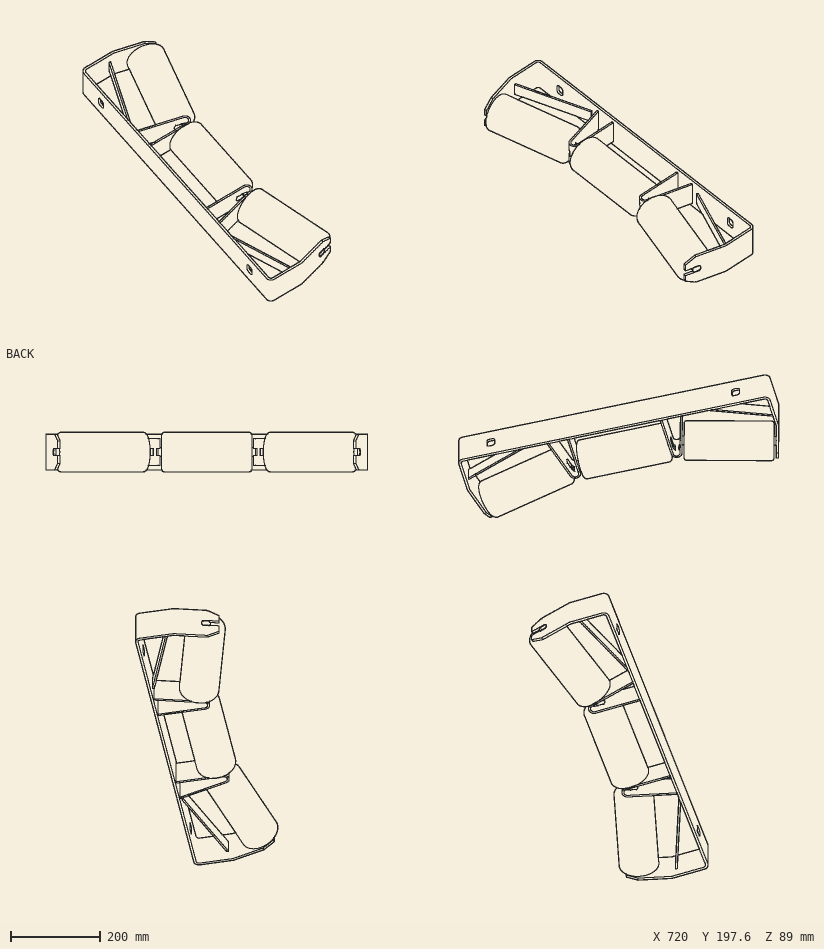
import math

import cadquery as cq

total_length = 720.0
strip_width = 81.0
tilt = math.radians(15)
cos_tilt = math.cos(tilt)
sin_tilt = math.sin(tilt)

strip_thickness = 6.0
corner_radius = 12.0
bend_radius = 12.0
arm_length = 102.0
arm_taper_length = 27.0
arm_taper_depth = 15.0
hole_width = 18.0
hole_height = 24.0
hole_corner_radius = 6.0
hole_offset = 283.0

roller_diameter = 89.0
roller_length = 201.5
roller_edge_radius = 6.5
shaft_diameter = 20.0
shaft_flat_width = 15.0
shaft_gap = 4.0
slot_depth = 43.0
slot_overcut = 1.5
middle_roller_y = 99.0
side_roller_y = 130.0

bracket_width = 60.0
bracket_thickness = 4.0
bracket_face = roller_length / 2 + shaft_gap
arch_radius = 12.0
arch_x = bracket_face + arch_radius
arch_height = 112.0

brace_width = 30.0
brace_thickness = 4.0
brace_angle = math.radians(21.0)
brace_top = 78.5

shaft_length = roller_length + 2 * (shaft_gap + bracket_thickness)

plate_spacing = 2 * bracket_face
leg_reach = arch_x * cos_tilt + arch_height * sin_tilt + arch_radius
side_roller_x = (leg_reach + plate_spacing / 2 - side_roller_y * sin_tilt) / cos_tilt
arm_reach = leg_reach + plate_spacing + strip_thickness
bend_height = (arm_reach - total_length / 2 * cos_tilt) / sin_tilt


def along_arm(start, along, inward=0.0):
    """Point reached from start by moving up the left arm and then inward across it."""
    x, y = start
    return (x + along * sin_tilt + inward * cos_tilt, y + along * cos_tilt - inward * sin_tilt)


def mirrored(points):
    """Points mirrored across X = 0, in reverse order."""
    return [(-x, y) for x, y in reversed(points)]


def extrude_plate(outline, width):
    """Solid of the given width, centred on Z = 0."""
    return outline.extrude(width).translate((0, 0, -width / 2))


def rod(diameter, length):
    """Round bar along X, centred on the origin."""
    return cq.Workplane("YZ").circle(diameter / 2).extrude(length).translate((-length / 2, 0, 0))


def round_upright(body, point, radius):
    """Round the vertical edge at point and its mirror image."""
    for side in (-1, 1):
        nearest = cq.selectors.NearestToPointSelector((side * point[0], point[1], 0))
        body = body.edges("|Z").edges(nearest).fillet(radius)
    return body


def make_strip():
    """Base with its folded uprights and leaning arms, and the two mounting holes."""
    outer_x = -total_length / 2
    inner_x = outer_x + strip_thickness
    outer_bend = (outer_x, bend_height)
    inner_bend = (inner_x, bend_height - strip_thickness * math.tan(tilt / 2))
    outer_left = [along_arm(outer_bend, arm_length), outer_bend, (outer_x, 0)]
    inner_left = [
        (inner_x, strip_thickness),
        inner_bend,
        along_arm(outer_bend, arm_length, strip_thickness),
    ]
    points = outer_left + mirrored(outer_left) + mirrored(inner_left) + inner_left
    strip = extrude_plate(cq.Workplane("XY").polyline(points).close(), strip_width)

    strip = round_upright(strip, (outer_x, 0), corner_radius)
    strip = round_upright(strip, (inner_x, strip_thickness), corner_radius - strip_thickness)
    strip = round_upright(strip, outer_bend, bend_radius)
    strip = round_upright(strip, inner_bend, bend_radius - strip_thickness)

    for side in (-1, 1):
        strip = strip.cut(make_arm_taper(outer_bend, side))
    holes = (
        cq.Workplane("XZ")
        .pushPoints([(-hole_offset, 0), (hole_offset, 0)])
        .rect(hole_width, hole_height)
        .extrude(-strip_thickness)
        .edges("|Y")
        .fillet(hole_corner_radius)
    )
    return strip.cut(holes)


def make_arm_taper(outer_bend, side):
    """Two corner wedges that narrow the free end of one arm."""
    face = cq.Plane(
        origin=(-side * outer_bend[0], outer_bend[1], 0),
        xDir=(-side * sin_tilt, cos_tilt, 0),
        normal=(-side * cos_tilt, -sin_tilt, 0),
    )
    half_width = strip_width / 2
    wedges = cq.Workplane(face)
    for edge in (-1, 1):
        wedges = wedges.polyline([
            (arm_length - arm_taper_length, edge * half_width),
            (arm_length, edge * half_width),
            (arm_length, edge * (half_width - arm_taper_depth)),
        ]).close()
    return wedges.extrude(strip_thickness)


def make_left_bracket():
    """Upright leg, arch and leaning leg, standing on the base strip."""

    def leaning_side(radius):
        """Foot X and arch tangent point of the leaning face at this arch radius."""
        foot_x = -arch_x - radius / cos_tilt - (arch_height - strip_thickness) * math.tan(tilt)
        tangent = (-arch_x - radius * cos_tilt, arch_height + radius * sin_tilt)
        return foot_x, tangent

    inner_radius = arch_radius - bracket_thickness
    outer_foot, outer_tangent = leaning_side(arch_radius)
    inner_foot, inner_tangent = leaning_side(inner_radius)
    outline = (
        cq.Workplane("XY")
        .moveTo(outer_foot, strip_thickness)
        .lineTo(*outer_tangent)
        .threePointArc((-arch_x, arch_height + arch_radius), (-bracket_face, arch_height))
        .lineTo(-bracket_face, strip_thickness)
        .lineTo(-bracket_face - bracket_thickness, strip_thickness)
        .lineTo(-bracket_face - bracket_thickness, arch_height)
        .threePointArc((-arch_x, arch_height + inner_radius), inner_tangent)
        .lineTo(inner_foot, strip_thickness)
        .close()
    )
    return extrude_plate(outline, bracket_width)


def make_left_brace():
    wall_x = -total_length / 2 + strip_thickness
    slope = math.tan(brace_angle)
    drop = brace_thickness / math.cos(brace_angle)
    foot_x = wall_x + (brace_top - drop - strip_thickness) / slope
    points = [
        (wall_x, brace_top),
        (wall_x, brace_top - drop),
        (foot_x, strip_thickness),
        (
            foot_x + brace_thickness * math.sin(brace_angle),
            strip_thickness + brace_thickness * math.cos(brace_angle),
        ),
    ]
    return extrude_plate(cq.Workplane("XY").polyline(points).close(), brace_width)


def flatted_rod(length):
    """Shaft section with a flat on its upper and lower side."""
    flats = cq.Workplane("XY").box(length, shaft_diameter, shaft_flat_width)
    return rod(shaft_diameter, length).intersect(flats)


def make_slot():
    """Space for the shaft flats in both plates, open along +Y so that the roller drops in."""
    length = roller_length + 2 * (shaft_gap + strip_thickness + slot_overcut)
    opening = cq.Workplane("XY").box(length, slot_depth, shaft_flat_width)
    return flatted_rod(length).union(opening.translate((0, slot_depth / 2, 0)))


def make_roller():
    """Roller on its shaft, lying along X; the shaft has flats where it sits in the plates."""
    drum = rod(roller_diameter, roller_length).edges().fillet(roller_edge_radius)
    journal = rod(shaft_diameter, roller_length + 2 * shaft_gap)
    return drum.union(journal).union(flatted_rod(shaft_length))


def place(body, station):
    """Turn a body about Z and move it to a roller station."""
    x, y, angle = station
    return body.rotate((0, 0, 0), (0, 0, 1), angle).translate((x, y, 0))


stations = [
    (-side_roller_x, side_roller_y, -math.degrees(tilt)),
    (0, middle_roller_y, 0),
    (side_roller_x, side_roller_y, math.degrees(tilt)),
]

frame = make_strip()
for part in (make_left_bracket(), make_left_brace()):
    frame = frame.union(part).union(part.mirror("YZ"))
for station in stations:
    frame = frame.cut(place(make_slot(), station))

rollers = [place(make_roller(), station) for station in stations]

result = cq.Compound.makeCompound([frame.val(), *[roller.val() for roller in rollers]])